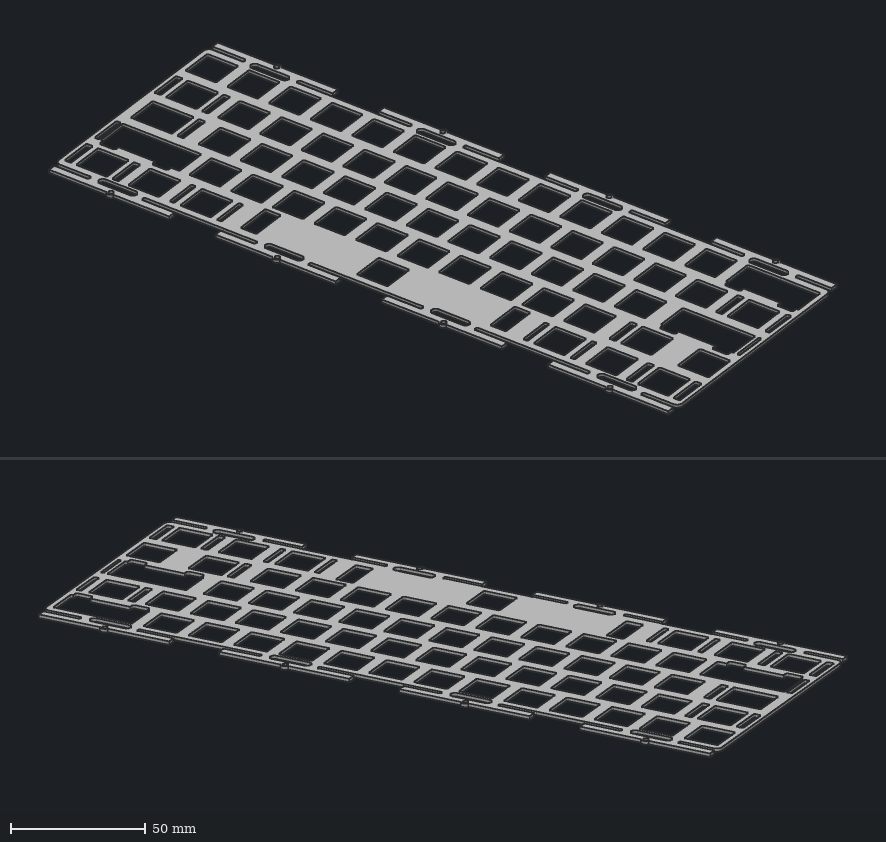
import cadquery as cq

length = 285.8
overall_depth = 109.5
thickness = 1.5
unit = length / 15
plate_depth = 97.2
plate_corner_radius = 2.5

key_size = 14.0
corner_radius = 0.5
wide_key_half_width = 16.5

stabilizer_spacing = 12.0
stabilizer_notch_width = 7.1
stabilizer_notch_depth = 2.3
stabilizer_notch_radius = 1.0
spacebar_stabilizer_x = 57.2
spacebar_stabilizer_width = 7.1
spacebar_stabilizer_depth = 15.7
spacebar_stabilizer_y = -36.5

flex_offset = 11.0
flex_width = 3.0
narrow_flex_width = 2.0
thin_flex_width = 1.1
edge_flex_end = 141.0

strip_pitch = 4 * unit
strip_length = 55.1
strip_inner_y = 50.3
strip_outer_y = 53.7
bridge_length = 24.3
front_bridge_shift = 0.3
bridge_slot_length = 17.1
bridge_slot_width = 3.5
nub_diameter = 3.7
nub_hole_diameter = 2.1

first_column = 0.75
right_shift_column = 13.125
last_column = 14.25
spacebar_neighbour_columns = (3.25, 11.75)

single_keys = {
    2: [0.5 + i for i in range(13)],
    1: [first_column] + [2 + i for i in range(12)] + [last_column],
    0: [2.25 + i for i in range(11)],
    -1: [2.75 + i for i in range(10)] + [right_shift_column, 14.5],
    -2: [first_column, 2, 7.5, 13, last_column, *spacebar_neighbour_columns],
}

backspace = (14, 2)
enter = (13.875, 0)
left_shift = (1.125, -1)
caps_lock = (first_column, 0)
caps_lock_width = key_size + unit / 4
left_shift_end_x = -102.0


def key_x(column):
    return column * unit - length / 2


def slab(width, depth, x, y):
    block = cq.Workplane("XY").box(width, depth, thickness, centered=(True, True, False))
    return block.translate((x, y, 0))


def opening(width, depth, x, y, radius=corner_radius):
    return slab(width, depth, x, y).edges("|Z").fillet(radius)


def key_opening(column, row, width=key_size):
    return opening(width, key_size, key_x(column), row * unit)


def stabilized_opening(column, row):
    """A wide key opening with two stabilizer notches on its front edge."""
    notch_depth = key_size / 2 + stabilizer_notch_depth
    cut = key_opening(column, row, 2 * wide_key_half_width)
    for side in (-1, 1):
        notch_x = key_x(column) + side * stabilizer_spacing
        notch_y = row * unit - notch_depth / 2
        cut = cut.union(opening(stabilizer_notch_width, notch_depth, notch_x, notch_y, stabilizer_notch_radius))
    return cut


def flex_slot(x, row, width=flex_width):
    return opening(width, key_size, x, row * unit)


def edge_flex_slot(side, row, width):
    """A flex slot that shares its outer wall line with the others at the plate's end."""
    return flex_slot(side * (edge_flex_end - width / 2), row, width)


def strip_body(x, side):
    """A solid strip along a long edge of the plate."""
    width = strip_outer_y - plate_depth / 2
    return slab(strip_length, width, x, side * (plate_depth / 2 + width / 2))


def strip_gaps(strip_x, bridge_x, side):
    """The gaps that free the strip from the plate on either side of its bridge."""
    gaps = []
    for end in (-1, 1):
        inner_x = bridge_x + end * bridge_length / 2
        outer_x = strip_x + end * (strip_length / 2 + corner_radius)
        gap_depth = strip_inner_y - plate_depth / 2
        gap_y = side * (strip_inner_y + plate_depth / 2) / 2
        gaps.append(opening(abs(outer_x - inner_x), gap_depth, (inner_x + outer_x) / 2, gap_y))
    return gaps


def bridge_slot(x, side):
    slot = cq.Workplane("XY").center(x, side * plate_depth / 2)
    return slot.slot2D(bridge_slot_length, bridge_slot_width).extrude(thickness)


def nub_cylinder(diameter, x, side):
    """A cylinder centred on the nub at the strip's outer edge."""
    nub_y = side * (overall_depth - nub_diameter) / 2
    return cq.Workplane("XY").center(x, nub_y).circle(diameter / 2).extrude(thickness)


plate = slab(length, plate_depth, 0, 0).edges("|Z").fillet(plate_corner_radius)
cuts = []

for strip_place in (-1.5, -0.5, 0.5, 1.5):
    for side in (-1, 1):
        strip_x = strip_place * strip_pitch
        bridge_x = strip_x if side > 0 else strip_x + front_bridge_shift
        plate = plate.union(strip_body(strip_x, side)).union(nub_cylinder(nub_diameter, bridge_x, side))
        cuts.extend(strip_gaps(strip_x, bridge_x, side))
        cuts.append(bridge_slot(bridge_x, side))
        cuts.append(nub_cylinder(nub_hole_diameter, bridge_x, side))

for row, columns in single_keys.items():
    for column in columns:
        cuts.append(key_opening(column, row))
cuts.append(key_opening(*caps_lock, caps_lock_width))
cuts.append(stabilized_opening(*backspace))
cuts.append(stabilized_opening(*enter))
left_shift_extension = opening(key_size, key_size, left_shift_end_x - key_size / 2, left_shift[1] * unit)
cuts.append(stabilized_opening(*left_shift).union(left_shift_extension))

for side in (-1, 1):
    cuts.append(
        opening(
            spacebar_stabilizer_width,
            spacebar_stabilizer_depth,
            side * spacebar_stabilizer_x,
            spacebar_stabilizer_y,
        )
    )

for side, column in ((-1, first_column), (1, last_column)):
    for row in (1, -2):
        cuts.append(flex_slot(key_x(column) - side * flex_offset, row))
    cuts.append(edge_flex_slot(side, -2, flex_width))
cuts.append(edge_flex_slot(-1, 1, flex_width))
cuts.append(edge_flex_slot(1, 1, narrow_flex_width))
cuts.append(edge_flex_slot(1, 0, thin_flex_width))
cuts.append(edge_flex_slot(-1, -1, narrow_flex_width))
cuts.append(flex_slot(key_x(caps_lock[0]) + caps_lock_width / 2 + flex_offset - key_size / 2, 0))
cuts.append(flex_slot(key_x(right_shift_column) - flex_offset, -1))
for column in spacebar_neighbour_columns:
    for side in (-1, 1):
        cuts.append(flex_slot(key_x(column) + side * flex_offset, -2, narrow_flex_width))

result = cq.Workplane(plate.val().cut(*[cut.val() for cut in cuts]))